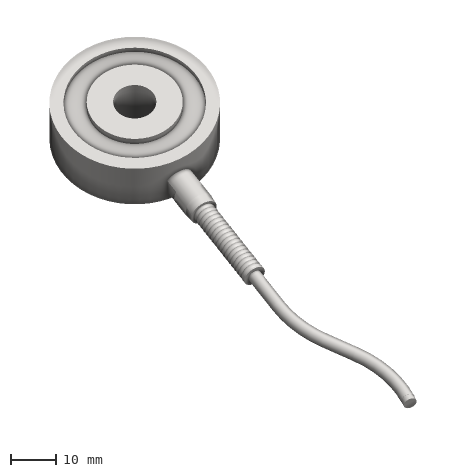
import cadquery as cq
import math

overall_length = 117.5

body_diameter = 37.6
body_height = 12.3
boss_diameter = 21.2
boss_rise = 0.4
recess_diameter = 31.4
recess_depth = 1.4
bore_diameter = 9.5

cable_axis_height = 4.6
gland_diameter = 7.0
gland_tip_diameter = 6.6
gland_taper_start = 26.9
gland_end = 29.1
root_flats_width = 6.0
root_flats_end = 22.3
tip_flats_width = 6.3
gland_embed = 2.4

sleeve_start = 28.9
rib_diameter = 5.3
rib_root_diameter = 4.8
rib_pitch = 1.2
rib_count = 18
end_ring_length = 0.4

cable_diameter = 3.2
core_diameter = 3.0
cable_straight_end = 60.5
cable_tilt = 6.0
bend_radius = 25.9
bend_angle = 31.0
middle_length = 7.9
counter_bend_radius = 24.7
counter_bend_angle = 40.0

body_radius = body_diameter / 2
ribs_end = sleeve_start + rib_count * rib_pitch
sleeve_end = ribs_end + end_ring_length


def make_body():
    ring = cq.Workplane("XY").circle(body_radius).extrude(body_height)
    recess = (
        cq.Workplane("XY", origin=(0, 0, body_height - recess_depth))
        .circle(recess_diameter / 2)
        .extrude(recess_depth)
    )
    boss = cq.Workplane("XY").circle(boss_diameter / 2).extrude(body_height + boss_rise)
    bore = cq.Workplane("XY").circle(bore_diameter / 2).extrude(body_height + boss_rise)
    return ring.cut(recess).union(boss).cut(bore)


def flat_cutters(start, end, width):
    """Pair of blocks that trim the gland to the given width across Y."""
    depth = gland_diameter / 2
    cutters = cq.Workplane("XY")
    for side in (-1, 1):
        cutters = cutters.add(
            cq.Workplane("XY")
            .box(end - start, depth, gland_diameter)
            .translate(((start + end) / 2, side * (width + depth) / 2, 0))
        )
    return cutters.combine()


def make_gland():
    gland_start = body_radius - gland_embed
    profile = (
        cq.Workplane("XY")
        .moveTo(gland_start, 0)
        .lineTo(gland_start, gland_diameter / 2)
        .lineTo(gland_taper_start, gland_diameter / 2)
        .lineTo(gland_end, gland_tip_diameter / 2)
        .lineTo(gland_end, 0)
        .close()
    )
    gland = profile.revolve(360, (0, 0, 0), (1, 0, 0))
    gland = gland.cut(flat_cutters(gland_start, root_flats_end, root_flats_width))
    return gland.cut(flat_cutters(gland_taper_start, gland_end, tip_flats_width))


def make_sleeve():
    root_radius = rib_root_diameter / 2
    rib_radius = rib_diameter / 2
    profile = cq.Workplane("XY").moveTo(sleeve_start, 0).lineTo(sleeve_start, root_radius)
    for rib in range(rib_count):
        rib_start = sleeve_start + rib * rib_pitch
        profile = profile.threePointArc(
            (rib_start + rib_pitch / 2, rib_radius),
            (rib_start + rib_pitch, root_radius),
        )
    profile = profile.lineTo(ribs_end, rib_radius).lineTo(sleeve_end, rib_radius).lineTo(sleeve_end, 0)
    return profile.close().revolve(360, (0, 0, 0), (1, 0, 0))


def bend(start, heading, radius, angle):
    """Mid point, end point and end heading of an arc; a positive angle turns towards +Y."""

    def point_at(turn):
        side = math.copysign(radius, angle)
        x = start[0] + side * (math.sin(heading + turn) - math.sin(heading))
        y = start[1] + side * (math.cos(heading) - math.cos(heading + turn))
        return (x, y)

    return point_at(angle / 2), point_at(angle), heading + angle


def make_cable():
    bend_start = (cable_straight_end, 0)
    bend_mid, bend_end, heading = bend(bend_start, 0, bend_radius, math.radians(bend_angle))
    counter_start = (
        bend_end[0] + middle_length * math.cos(heading),
        bend_end[1] + middle_length * math.sin(heading),
    )
    counter_mid, counter_end, heading = bend(
        counter_start, heading, counter_bend_radius, -math.radians(counter_bend_angle)
    )
    path = (
        cq.Workplane("XY")
        .moveTo(gland_end, 0)
        .lineTo(*bend_start)
        .threePointArc(bend_mid, bend_end)
        .lineTo(*counter_start)
        .threePointArc(counter_mid, counter_end)
    )
    cable = cq.Workplane("YZ", origin=(gland_end, 0, 0)).circle(cable_diameter / 2).sweep(path)
    end_plane = cq.Plane(
        origin=(counter_end[0], counter_end[1], 0),
        xDir=(0, 0, 1),
        normal=(math.cos(heading), math.sin(heading), 0),
    )
    core_radius = core_diameter / 2
    core_end_x = overall_length - body_radius - core_radius * abs(math.sin(heading))
    core_length = (core_end_x - counter_end[0]) / math.cos(heading)
    core = cq.Workplane(end_plane).circle(core_radius).extrude(core_length)
    return cable.union(core).rotate((0, 0, 0), (1, 0, 0), -cable_tilt)


cable_exit = make_gland().union(make_sleeve()).union(make_cable())
result = make_body().union(cable_exit.translate((0, 0, cable_axis_height)))